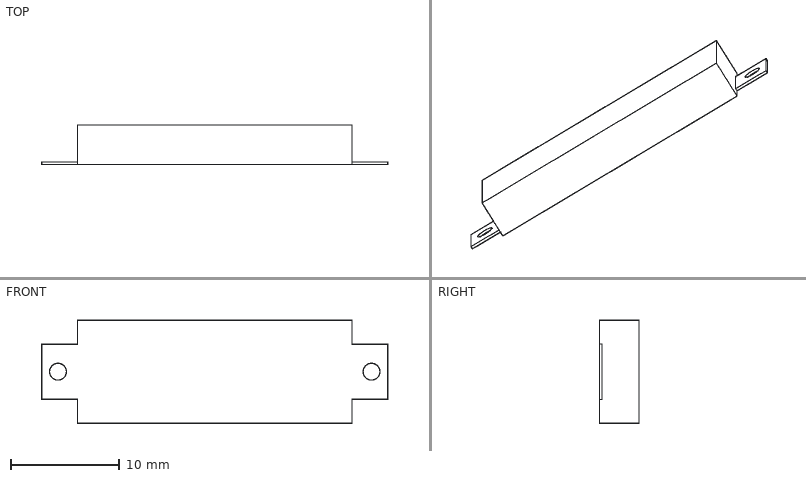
import cadquery as cq

overall_length = 32.0
body_length = 25.4
body_depth = 3.68
body_height = 9.55

tab_height = 5.12
tab_thickness = 0.25
hole_diameter = 1.55
hole_spacing = 29.0


def front_plate(length, depth, height):
    """Block centred in X and Z that starts at Y = 0 and extends toward +Y."""
    return cq.Workplane("XY").box(length, depth, height, centered=(True, False, True))


body = front_plate(body_length, body_depth, body_height)

tabs = front_plate(overall_length, tab_thickness, tab_height)

holes = (
    cq.Workplane("XZ")
    .pushPoints([(-hole_spacing / 2, 0), (hole_spacing / 2, 0)])
    .circle(hole_diameter / 2)
    .extrude(-tab_thickness)
)

result = body.union(tabs).cut(holes)